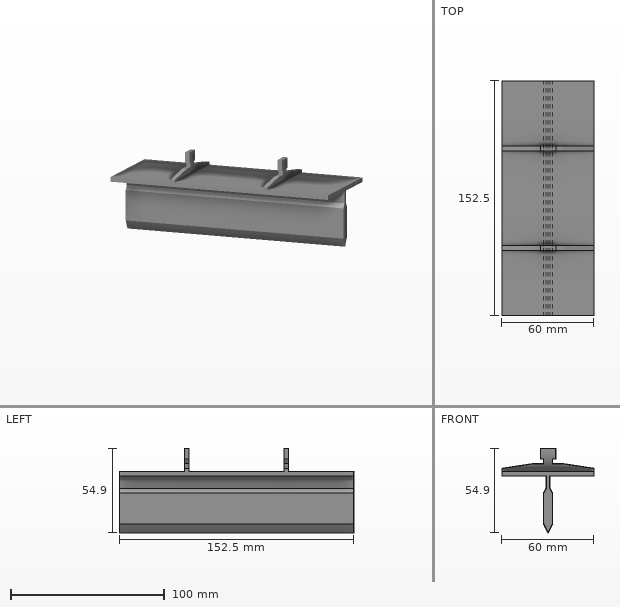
import cadquery as cq

length = 152.5
width = 60.0
plate_thickness = 3.0

blade_depth = 37.0
stem_width = 2.5
stem_depth = 8.0
blade_width = 6.0
shoulder_height = 3.0
point_height = 6.0

rib_thickness = 3.0
rib_offset = 32.3
rib_end_height = 2.0
rib_height = 5.0
rib_flat_width = 19.8
neck_width = 6.0
neck_height = 2.9
head_width = 10.0
head_height = 7.0


def symmetric_prism(right_side, thickness, y_center):
    """Mirror an outline of (x, z) points about X = 0 and extrude it along Y."""
    left_side = [(-x, z) for x, z in reversed(right_side) if x > 0]
    return (
        cq.Workplane("XZ", origin=(0, y_center, 0))
        .polyline(right_side + left_side)
        .close()
        .extrude(thickness / 2, both=True)
    )


def make_plate():
    return cq.Workplane("XY").box(width, length, plate_thickness, centered=(True, True, False))


def make_blade():
    right_side = [
        (stem_width / 2, plate_thickness / 2),
        (stem_width / 2, -stem_depth),
        (blade_width / 2, -stem_depth - shoulder_height),
        (blade_width / 2, -blade_depth + point_height),
        (0, -blade_depth),
    ]
    return symmetric_prism(right_side, length, 0)


def make_rib(y_center):
    rib_top = plate_thickness + rib_height
    head_bottom = rib_top + neck_height
    head_top = head_bottom + head_height
    right_side = [
        (width / 2, plate_thickness),
        (width / 2, plate_thickness + rib_end_height),
        (rib_flat_width / 2, rib_top),
        (neck_width / 2, rib_top),
        (neck_width / 2, head_bottom),
        (head_width / 2, head_bottom),
        (head_width / 2, head_top),
    ]
    return symmetric_prism(right_side, rib_thickness, y_center)


result = make_plate().union(make_blade())
for y_center in (-rib_offset, rib_offset):
    result = result.union(make_rib(y_center))